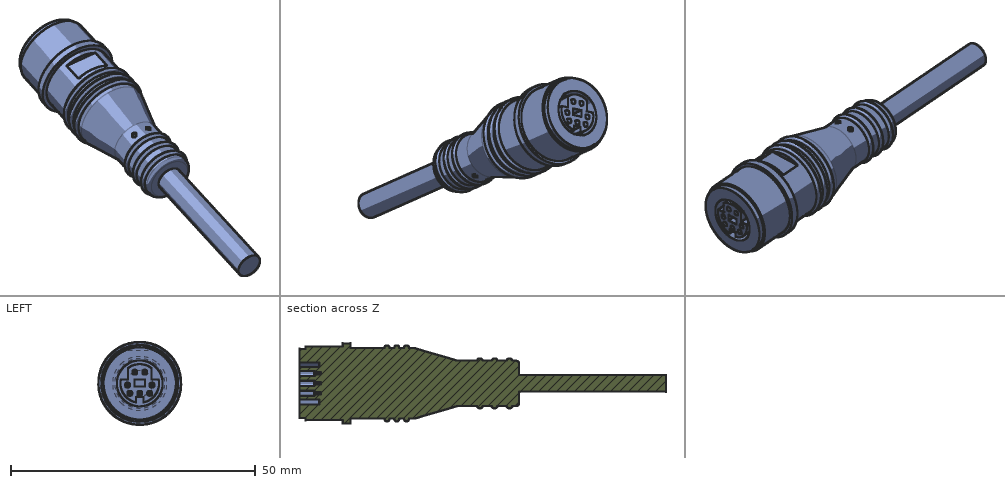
import cadquery as cq
import math

TOTAL_LENGTH = 75.0
CABLE_DIAMETER = 5.3

NOSE_RADIUS = 7.4
NOSE_LENGTH = 1.2
SHELL_RADIUS = 7.85
FLANGE_RADIUS = 8.5
FLANGE_START = 8.85
FLANGE_END = 10.45

BODY_RADIUS = 7.55
CONE_START = 23.55
CONE_END = 32.3
SLEEVE_RADIUS = 5.1
SLEEVE_END = 45.0
SLEEVE_END_FILLET = 0.7

RIB_COUNT = 3
BODY_RIB_START = 17.9
BODY_RIB_PITCH = 2.0
BODY_RIB_HALF_WIDTH = 0.55
BODY_RIB_HEIGHT = 0.55
SLEEVE_RIB_START = 36.9
SLEEVE_RIB_PITCH = 3.03
SLEEVE_RIB_HALF_WIDTH = 0.6
SLEEVE_RIB_HEIGHT = 0.45

LABEL_START = 11.75
LABEL_END = 16.15
LABEL_HEIGHT = 6.7

SLEEVE_HOLE_X = 34.4
SLEEVE_HOLE_Y = 1.7
SLEEVE_HOLE_DIAMETER = 1.0
SLEEVE_HOLE_FLOOR = 4.5

RECESS_RADIUS = 4.7
RECESS_DEPTH = 4.0
INSERT_RADIUS = 3.95
INSERT_NECK_HALF_WIDTH = 2.4
SHOULDER_Z = 0.8
KEYWAY_WIDTH = 1.6
KEYWAY_TOP_Z = -2.8

KEY_POCKET_WIDTH = 2.1
KEY_POCKET_TOP_Z = 0.8
KEY_POCKET_BOTTOM_Z = -0.6

CONTACT_CENTRES = [
    (-1.02, 2.3), (1.02, 2.3),
    (-2.5, -0.35), (2.5, -0.35),
    (-2.03, -2.03), (0.0, -2.03), (2.03, -2.03),
]
CONTACT_DIAMETER = 1.0
CONTACT_DEPTH = 3.0
CONTACT_TIP_DIAMETER = 0.4
CONTACT_TIP_DEPTH = 1.0


def box(x_range, y_range, z_range):
    """Axis-aligned box between the given limits."""
    sizes = [high - low for low, high in (x_range, y_range, z_range)]
    corner = (x_range[0], y_range[0], z_range[0])
    return cq.Workplane("XY").box(*sizes, centered=False).translate(corner)


def recess_cylinder(radius):
    """Cylinder on the X axis from the mating face to the recess floor."""
    return cq.Workplane("YZ").circle(radius).extrude(RECESS_DEPTH)


def add_ribs(profile, base_radius, start, pitch, half_width, height):
    """Extend a half-section outline along a row of rounded ribs."""
    for index in range(RIB_COUNT):
        centre = start + index * pitch
        profile = profile.lineTo(centre - half_width, base_radius)
        profile = profile.threePointArc(
            (centre, base_radius + height),
            (centre + half_width, base_radius),
        )
    return profile


def make_outer_body():
    """Revolve the shell, ribbed body, cone, sleeve and cable as one half-section."""
    cable_radius = CABLE_DIAMETER / 2
    fillet_offset = SLEEVE_END_FILLET * (1 - math.sqrt(0.5))
    profile = (
        cq.Workplane("XZ")
        .moveTo(0, 0)
        .lineTo(0, NOSE_RADIUS)
        .lineTo(NOSE_LENGTH, NOSE_RADIUS)
        .lineTo(NOSE_LENGTH, SHELL_RADIUS)
        .lineTo(FLANGE_START, SHELL_RADIUS)
        .lineTo(FLANGE_START, FLANGE_RADIUS)
        .lineTo(FLANGE_END, FLANGE_RADIUS)
        .lineTo(FLANGE_END, BODY_RADIUS)
    )
    profile = add_ribs(
        profile, BODY_RADIUS, BODY_RIB_START, BODY_RIB_PITCH, BODY_RIB_HALF_WIDTH, BODY_RIB_HEIGHT
    )
    profile = profile.lineTo(CONE_START, BODY_RADIUS).lineTo(CONE_END, SLEEVE_RADIUS)
    profile = add_ribs(
        profile, SLEEVE_RADIUS, SLEEVE_RIB_START, SLEEVE_RIB_PITCH, SLEEVE_RIB_HALF_WIDTH, SLEEVE_RIB_HEIGHT
    )
    return (
        profile
        .lineTo(SLEEVE_END - SLEEVE_END_FILLET, SLEEVE_RADIUS)
        .threePointArc(
            (SLEEVE_END - fillet_offset, SLEEVE_RADIUS - fillet_offset),
            (SLEEVE_END, SLEEVE_RADIUS - SLEEVE_END_FILLET),
        )
        .lineTo(SLEEVE_END, cable_radius)
        .lineTo(TOTAL_LENGTH, cable_radius)
        .lineTo(TOTAL_LENGTH, 0)
        .close()
        .revolve(360, (0, 0, 0), (1, 0, 0))
    )


def cut_label_recess(body):
    """Cut the flat-floored recess across the top of the grip body."""
    recess = box((LABEL_START, LABEL_END), (-BODY_RADIUS, BODY_RADIUS), (LABEL_HEIGHT, BODY_RADIUS))
    return body.cut(recess)


def cut_sleeve_holes(body):
    """Cut the paired blind holes into the top and bottom of the sleeve."""
    depth = SLEEVE_RADIUS - SLEEVE_HOLE_FLOOR
    for y in (-SLEEVE_HOLE_Y, SLEEVE_HOLE_Y):
        for z in (-SLEEVE_RADIUS, SLEEVE_HOLE_FLOOR):
            hole = (
                cq.Workplane("XY", origin=(SLEEVE_HOLE_X, y, z))
                .circle(SLEEVE_HOLE_DIAMETER / 2)
                .extrude(depth)
            )
            body = body.cut(hole)
    return body


def make_insert():
    """Contact insert: a round plug with two stepped shoulders and a keyway."""
    reach = INSERT_RADIUS
    span = (0, RECESS_DEPTH)
    insert = recess_cylinder(INSERT_RADIUS)
    for y_range in ((-reach, -INSERT_NECK_HALF_WIDTH), (INSERT_NECK_HALF_WIDTH, reach)):
        insert = insert.cut(box(span, y_range, (SHOULDER_Z, reach)))
    keyway = box(span, (-KEYWAY_WIDTH / 2, KEYWAY_WIDTH / 2), (-reach, KEYWAY_TOP_Z))
    return insert.cut(keyway)


def make_contact_hole():
    """Contact hole on the axis: a cylinder, a 45 degree taper and a fine tip bore."""
    radius = CONTACT_DIAMETER / 2
    tip_radius = CONTACT_TIP_DIAMETER / 2
    taper_end = CONTACT_DEPTH + radius - tip_radius
    return (
        cq.Workplane("XY")
        .moveTo(0, 0)
        .lineTo(0, radius)
        .lineTo(CONTACT_DEPTH, radius)
        .lineTo(taper_end, tip_radius)
        .lineTo(taper_end + CONTACT_TIP_DEPTH, tip_radius)
        .lineTo(taper_end + CONTACT_TIP_DEPTH, 0)
        .close()
        .revolve(360, (0, 0, 0), (1, 0, 0))
    )


def cut_insert_face(body):
    """Cut the contact holes and the rectangular key pocket into the insert face."""
    contact_hole = make_contact_hole()
    for y, z in CONTACT_CENTRES:
        body = body.cut(contact_hole.translate((0, y, z)))
    key_pocket = box(
        (0, RECESS_DEPTH),
        (-KEY_POCKET_WIDTH / 2, KEY_POCKET_WIDTH / 2),
        (KEY_POCKET_BOTTOM_Z, KEY_POCKET_TOP_Z),
    )
    return body.cut(key_pocket)


body = make_outer_body()
body = cut_label_recess(body)
body = cut_sleeve_holes(body)
body = body.cut(recess_cylinder(RECESS_RADIUS)).union(make_insert())
result = cut_insert_face(body)